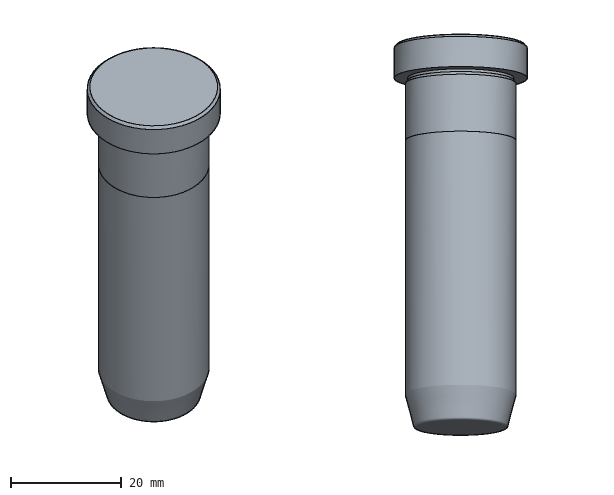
import cadquery as cq

total_length = 70.0
head_diameter = 24.0
head_height = 6.0
head_chamfer = 0.5
shank_diameter = 20.0

neck_depth = 0.4
neck_height = 0.5
neck_slope_height = 0.55

joint_depth = 17.5

nose_height = 6.0
nose_end_radius = 8.55
tip_height = 0.4
tip_inset = 0.5

shank_radius = shank_diameter / 2
head_radius = head_diameter / 2
neck_radius = shank_radius - neck_depth
joint_z = total_length - joint_depth
head_bottom_z = total_length - head_height
neck_bottom_z = head_bottom_z - neck_height
neck_slope_bottom_z = neck_bottom_z - neck_slope_height


def make_headed_body():
    """Head, undercut and upper length of the shank, revolved about Z."""
    return (
        cq.Workplane("XZ")
        .moveTo(0, joint_z)
        .lineTo(shank_radius, joint_z)
        .lineTo(shank_radius, neck_slope_bottom_z)
        .lineTo(neck_radius, neck_bottom_z)
        .lineTo(neck_radius, head_bottom_z)
        .lineTo(head_radius, head_bottom_z)
        .lineTo(head_radius, total_length - head_chamfer)
        .lineTo(head_radius - head_chamfer, total_length)
        .lineTo(0, total_length)
        .close()
        .revolve(360, (0, 0, 0), (0, 1, 0))
    )


def make_lower_shank():
    """Plain shank with a conical nose and a rounded tip edge."""
    return (
        cq.Workplane("XZ")
        .lineTo(nose_end_radius - tip_inset, 0)
        .radiusArc((nose_end_radius, tip_height), -tip_inset)
        .lineTo(shank_radius, nose_height)
        .lineTo(shank_radius, joint_z)
        .lineTo(0, joint_z)
        .close()
        .revolve(360, (0, 0, 0), (0, 1, 0))
    )


headed_body = make_headed_body()
lower_shank = make_lower_shank()

result = cq.Compound.makeCompound([headed_body.val(), lower_shank.val()])